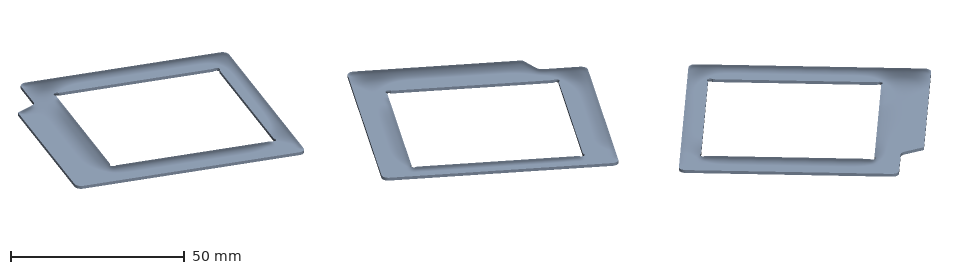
import cadquery as cq

width = 69.0
length = 70.0
thickness = 0.9
corner_radius = 2.0

step_depth = 6.5
step_shoulder = 14.0
step_foot = 17.8
step_blend_radius = 2.0

window_side = 50.0
window_back_margin = 6.0
relief_radius = 1.0
relief_inset = 0.6

left = -width / 2
right = width / 2
front = -length / 2
back = length / 2
step_y = front + step_depth


def make_plate():
    """Stepped plate with rounded outer corners and a rounded step shoulder."""
    plate = (
        cq.Workplane("XY")
        .moveTo(left + step_foot, front)
        .lineTo(right, front)
        .lineTo(right, back)
        .lineTo(left, back)
        .lineTo(left, step_y)
        .lineTo(left + step_shoulder, step_y)
        .close()
        .extrude(thickness)
    )
    rounded_corners = [(right, front), (right, back), (left, back), (left, step_y)]
    for x, y in rounded_corners:
        corner_edge = cq.selectors.NearestToPointSelector((x, y, thickness / 2))
        plate = plate.edges("|Z").edges(corner_edge).fillet(corner_radius)
    shoulder_edge = cq.selectors.NearestToPointSelector((left + step_shoulder, step_y, thickness / 2))
    return plate.edges("|Z").edges(shoulder_edge).fillet(step_blend_radius)


def make_window():
    """Square through cutter with a round relief at each corner."""
    window_y = back - window_back_margin - window_side / 2
    relief_spacing = window_side - 2 * relief_inset
    opening = cq.Workplane("XY").center(0, window_y).rect(window_side, window_side).extrude(thickness)
    reliefs = (
        cq.Workplane("XY")
        .center(0, window_y)
        .rect(relief_spacing, relief_spacing, forConstruction=True)
        .vertices()
        .circle(relief_radius)
        .extrude(thickness)
    )
    return opening.union(reliefs)


result = make_plate().cut(make_window())